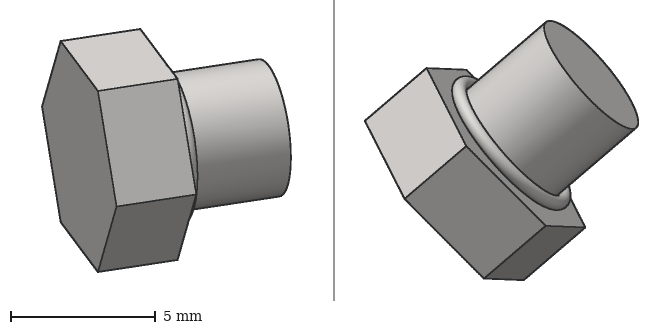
import cadquery as cq

head_across_corners = 8.08
total_length = 6.9
shank_length = 4.0
head_height = total_length - shank_length
shank_diameter = 4.8
shank_radius = shank_diameter / 2

ring_section_diameter = 0.5
ring_section_radius = ring_section_diameter / 2
ring_center_radius = shank_radius + ring_section_radius


def make_screw():
    """Hexagonal head, corners on the X axis, with a plain cylindrical shank."""
    head = cq.Workplane("XZ").polygon(6, head_across_corners).extrude(head_height)
    shank = cq.Workplane("XZ").circle(shank_radius).extrude(-shank_length)
    return head.union(shank)


def make_sealing_ring():
    """O-ring around the shank, resting against the underside of the head."""
    return (
        cq.Workplane("XY")
        .center(ring_center_radius, ring_section_radius)
        .circle(ring_section_radius)
        .revolve(360, (-ring_center_radius, 0), (-ring_center_radius, 1))
    )


screw = make_screw()
sealing_ring = make_sealing_ring()

result = cq.Compound.makeCompound([screw.solids().val(), sealing_ring.solids().val()])